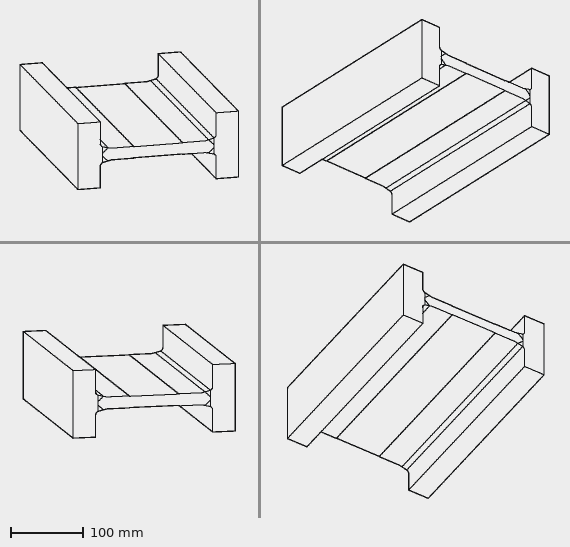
import cadquery as cq
import math

length = 300.0
overall_width = 230.0
flange_height = 95.0

flange_thickness = 32.0
stub_length = 3.0
fillet_radius = 6.0
stub_half_height = 11.5

panel_thickness = 16.0
edge_strip_thickness = 17.0
edge_strip_start = 35.0
flare_slope = 0.24
weld_width = 8.0
root_half_height = 2.0

fillet_sweep = math.acos(1 - stub_length / fillet_radius)

outer_face = overall_width / 2
inner_face = outer_face - flange_thickness
stub_face = inner_face - stub_length
weld_toe = stub_face - weld_width

flange_top = flange_height / 2
panel_top = panel_thickness / 2
edge_strip_top = edge_strip_thickness / 2
flare_start = stub_face - (stub_half_height - edge_strip_top) / flare_slope
weld_toe_top = stub_half_height - flare_slope * weld_width


def extrude_profile(profile):
    """Extrude a YZ profile along X, centred on the origin."""
    return profile.extrude(length / 2, both=True)


def make_flange(side):
    """Upright flange on the side +1 or -1 of Y, with its filleted stub."""
    fillet_top = stub_half_height + fillet_radius * math.sin(fillet_sweep)
    mid_angle = fillet_sweep / 2
    arc_y = inner_face - fillet_radius * (1 - math.cos(mid_angle))
    arc_z = fillet_top - fillet_radius * math.sin(mid_angle)
    profile = (
        cq.Workplane("YZ")
        .moveTo(side * outer_face, -flange_top)
        .lineTo(side * outer_face, flange_top)
        .lineTo(side * inner_face, flange_top)
        .lineTo(side * inner_face, fillet_top)
        .threePointArc((side * arc_y, arc_z), (side * stub_face, stub_half_height))
        .lineTo(side * stub_face, -stub_half_height)
        .threePointArc((side * arc_y, -arc_z), (side * inner_face, -fillet_top))
        .lineTo(side * inner_face, -flange_top)
        .close()
    )
    return extrude_profile(profile)


def make_web():
    """Web plate whose flared ends are bevelled to a root face on each stub."""
    upper_edge = [
        (edge_strip_start, panel_top),
        (edge_strip_start, edge_strip_top),
        (flare_start, edge_strip_top),
        (weld_toe, weld_toe_top),
        (stub_face, root_half_height),
    ]
    right_half = upper_edge + [(y, -z) for y, z in reversed(upper_edge)]
    left_half = [(-y, -z) for y, z in right_half]
    return extrude_profile(cq.Workplane("YZ").polyline(right_half + left_half).close())


def make_weld(side, face):
    """Triangular weld filling the web bevel on one side of Y, above or below the root."""
    corners = [
        (side * stub_face, face * stub_half_height),
        (side * weld_toe, face * weld_toe_top),
        (side * stub_face, face * root_half_height),
    ]
    return extrude_profile(cq.Workplane("YZ").polyline(corners).close())


flanges = [make_flange(side) for side in (1, -1)]
web = make_web()
welds = [make_weld(side, face) for side in (1, -1) for face in (1, -1)]

bodies = flanges + [web] + welds
result = cq.Compound.makeCompound([body.val() for body in bodies])